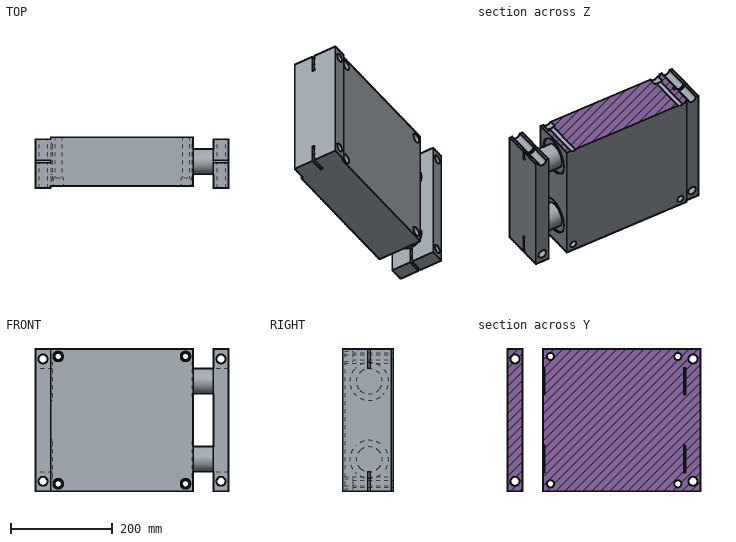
import cadquery as cq

total_length = 380.0
height = 280.0
plate_thickness = 30.0
body_length = height
far_plate_x = total_length - plate_thickness
body_end_x = plate_thickness + body_length

total_depth = 100.0
depth_offset = 3.8
block_depth = total_depth - depth_offset

rod_diameter = 50.0
rod_end_distance = 63.5
rod_y = depth_offset + block_depth / 2
rod_heights = (rod_end_distance, height - rod_end_distance)

seat_diameter = 75.2
seat_depth = 3.0

slot_width = 4.5

plate_hole_diameter = 17.5
plate_hole_inset = 19.8

body_hole_diameter = 13.5
body_bore_diameter = 19.8
body_bore_depth = 16.0
body_hole_inset = 15.0


def block(x, y, length):
    """Full-height rectangular block with its lower front corner at (x, y, 0)."""
    return cq.Workplane("XY").box(length, block_depth, height, centered=False).translate((x, y, 0))


def cylinder_x(x, z, diameter, length):
    """Cylinder along +X on a rod axis."""
    return cq.Workplane("YZ", origin=(x, rod_y, z)).circle(diameter / 2).extrude(length)


def cylinder_y(x, y, z, diameter, length):
    """Cylinder along +Y starting at the given point."""
    return cq.Workplane("XZ", origin=(x, y, z)).circle(diameter / 2).extrude(-length)


def make_plate(x):
    """Clamp plate with two bolt holes and a clamping slot at each end."""
    plate = block(x, 0, plate_thickness)
    for z in (plate_hole_inset, height - plate_hole_inset):
        plate = plate.cut(cylinder_y(x + plate_thickness / 2, 0, z, plate_hole_diameter, block_depth))
    slot = cq.Workplane("XY").box(plate_thickness, slot_width, rod_end_distance, centered=(False, True, False))
    for z in (0, height - rod_end_distance):
        plate = plate.cut(slot.translate((x, rod_y, z)))
    return plate


def make_body():
    """Bearing body with counterbored corner holes and seats around the rods."""
    body = block(plate_thickness, depth_offset, body_length)
    for x in (plate_thickness + body_hole_inset, body_end_x - body_hole_inset):
        for z in (body_hole_inset, height - body_hole_inset):
            body = body.cut(cylinder_y(x, depth_offset, z, body_hole_diameter, block_depth))
            body = body.cut(cylinder_y(x, depth_offset, z, body_bore_diameter, body_bore_depth))
    for z in rod_heights:
        for x in (plate_thickness, body_end_x - seat_depth):
            body = body.cut(cylinder_x(x, z, seat_diameter, seat_depth))
    return body


result = make_body().union(make_plate(0)).union(make_plate(far_plate_x))
for rod_z in rod_heights:
    result = result.union(cylinder_x(0, rod_z, rod_diameter, total_length))